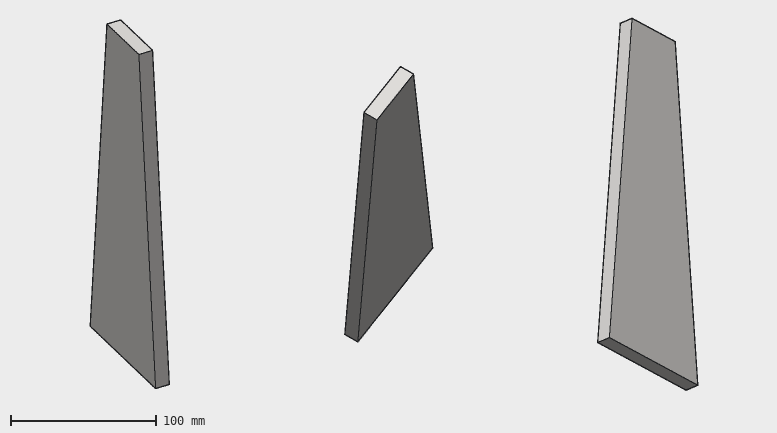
import cadquery as cq

height = 260.0
base_width = 92.0
top_width = 45.0
thickness = 11.0

result = (
    cq.Workplane("XZ")
    .moveTo(-base_width / 2, 0)
    .lineTo(base_width / 2, 0)
    .lineTo(top_width / 2, height)
    .lineTo(-top_width / 2, height)
    .close()
    .extrude(thickness / 2, both=True)
)